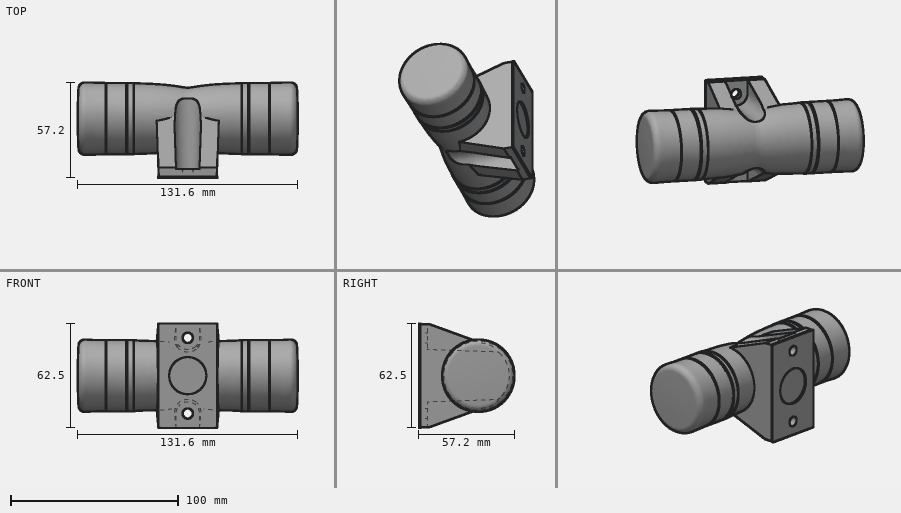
import cadquery as cq
import math


barrel_radius = 21.4
barrel_end = 48.95
groove_centre = 36.4
groove_width = 0.8
groove_depth = 0.8
joint_width = 0.4
joint_depth = 0.4
shoulder_position = 32.0
shoulder_radius = 21.25
neck_position = 21.65
neck_radius = 20.85
waist_radius = 18.35
neck_bulge = 0.4
waist_fillet = 10.0

cap_rim_radius = 21.4
cap_crown_radius = 21.8
cap_end = 65.1
dome_height = 0.7
cap_fillet = 4.0

mount_face = -35.5
lip_width = 35.5
lip_height = 62.5
lip_thickness = 1.0
lip_corner_radius = 1.0
lip_overhang = 0.35
side_draft = 2.0
block_height = 61.7
slope_start = -29.3
slope_angle = 20.0
block_back = 5.0

screw_spacing = 45.2
screw_diameter = 6.0
channel_floor = -30.2
channel_radius = 7.0
channel_draft = 2.0
channel_length = 60.0

recess_diameter = 22.2
recess_depth = 1.0


def revolve_about_x(profile):
    return profile.close().revolve(360, (0, 0, 0), (1, 0, 0))


def make_half_barrel():
    """Half from the waist to the cap: curved neck, cone, shoulder joint, groove and end joint."""
    groove_inner = groove_centre - groove_width / 2
    groove_outer = groove_centre + groove_width / 2
    joint_radius = barrel_radius - joint_depth
    groove_radius = barrel_radius - groove_depth
    bulge_point = (neck_position / 2, (waist_radius + neck_radius) / 2 + neck_bulge)
    profile = (
        cq.Workplane("XY")
        .lineTo(0, waist_radius)
        .threePointArc(bulge_point, (neck_position, neck_radius))
        .lineTo(shoulder_position, shoulder_radius)
        .lineTo(shoulder_position, joint_radius)
        .lineTo(shoulder_position + joint_width, joint_radius)
        .lineTo(shoulder_position + joint_width, barrel_radius)
        .lineTo(groove_inner, barrel_radius)
        .lineTo(groove_inner, groove_radius)
        .lineTo(groove_outer, groove_radius)
        .lineTo(groove_outer, barrel_radius)
        .lineTo(barrel_end - joint_width, barrel_radius)
        .lineTo(barrel_end - joint_width, joint_radius)
        .lineTo(barrel_end, joint_radius)
        .lineTo(barrel_end, 0)
    )
    return revolve_about_x(profile)


def make_bracket_block():
    """Block behind the lip: sides spread toward the barrel, top and bottom slope in toward it."""
    block_front = mount_face + lip_thickness
    half_width = lip_width / 2 - lip_overhang
    half_width_at_back = half_width + (block_back - block_front) * math.tan(math.radians(side_draft))
    half_height = block_height / 2
    half_height_at_back = half_height - (block_back - slope_start) * math.tan(math.radians(slope_angle))
    plan = (
        cq.Workplane("XY")
        .polyline([
            (-half_width, block_front),
            (half_width, block_front),
            (half_width_at_back, block_back),
            (-half_width_at_back, block_back),
        ])
        .close()
        .extrude(half_height, both=True)
    )
    side = (
        cq.Workplane("YZ")
        .polyline([
            (block_front, -half_height),
            (slope_start, -half_height),
            (block_back, -half_height_at_back),
            (block_back, half_height_at_back),
            (slope_start, half_height),
            (block_front, half_height),
        ])
        .close()
        .extrude(lip_width, both=True)
    )
    return plan.intersect(side)


def make_lip():
    return (
        cq.Workplane("XZ", origin=(0, mount_face, 0))
        .rect(lip_width, lip_height)
        .extrude(-lip_thickness)
        .edges("|Y")
        .fillet(lip_corner_radius)
    )


def make_channel(side):
    """Drafted U-shaped cutter, round toward the barrel axis and open outward."""
    growth = channel_length * math.tan(math.radians(channel_draft))
    screw_height = side * screw_spacing / 2
    open_height = side * lip_height

    def section(plane, radius):
        return (
            plane.moveTo(-radius, open_height)
            .lineTo(-radius, screw_height)
            .threePointArc((0, screw_height - side * radius), (radius, screw_height))
            .lineTo(radius, open_height)
            .close()
        )

    front = section(cq.Workplane("XZ", origin=(0, channel_floor, 0)), channel_radius)
    return section(front.workplane(offset=-channel_length), channel_radius + growth).loft(ruled=True)


def make_barrel():
    """Two mirrored halves, with the waist edge between them rounded."""
    half_barrel = make_half_barrel()
    waist_edge = cq.NearestToPointSelector((0, 0, 0))
    return half_barrel.union(half_barrel.mirror("YZ")).edges(waist_edge).fillet(waist_fillet)


def make_body():
    body = make_barrel().union(make_bracket_block()).union(make_lip())
    for side in (-1, 1):
        body = body.cut(make_channel(side))
    mount_plane = cq.Workplane("XZ", origin=(0, mount_face, 0))
    screw_points = [(0, -screw_spacing / 2), (0, screw_spacing / 2)]
    screw_depth = channel_floor - mount_face
    screw_holes = mount_plane.pushPoints(screw_points).circle(screw_diameter / 2).extrude(-screw_depth)
    recess = mount_plane.circle(recess_diameter / 2).extrude(-recess_depth)
    return body.cut(screw_holes).cut(recess)


def make_cap(side):
    """Slightly flared cap with a shallow domed end and a rounded edge."""
    dome_radius = (cap_crown_radius ** 2 + dome_height ** 2) / (2 * dome_height)
    mid_chord = cap_crown_radius / 2
    mid_rise = dome_height - dome_radius + math.sqrt(dome_radius ** 2 - mid_chord ** 2)
    profile = (
        cq.Workplane("XY")
        .moveTo(side * barrel_end, 0)
        .lineTo(side * barrel_end, cap_rim_radius)
        .lineTo(side * cap_end, cap_crown_radius)
        .threePointArc((side * (cap_end + mid_rise), mid_chord), (side * (cap_end + dome_height), 0))
    )
    dome_face = ">X" if side > 0 else "<X"
    return revolve_about_x(profile).faces(dome_face).edges("%CIRCLE").fillet(cap_fillet)


body = make_body()
caps = [make_cap(side) for side in (-1, 1)]
result = cq.Compound.makeCompound([body.val(), *[cap.val() for cap in caps]])